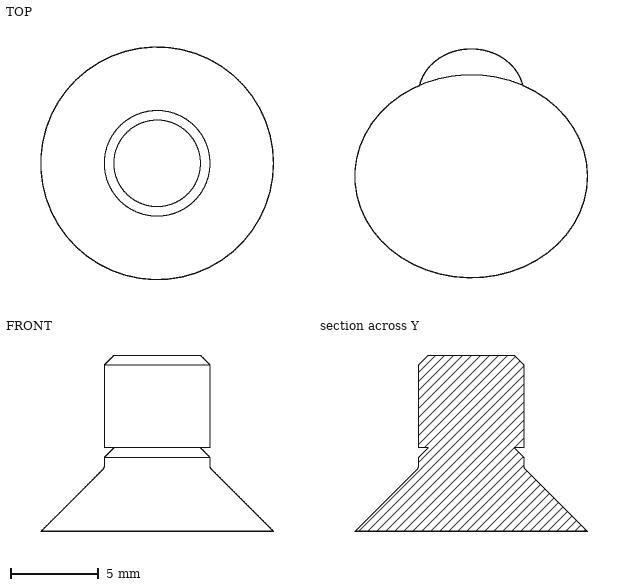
import cadquery as cq
import math

head_radius = 6.62
total_height = 10.0
shank_radius = 3.0
chamfer = 0.54
thread_start = 4.75
neck_fillet = 0.3

root_radius = shank_radius - chamfer
collar_top = thread_start - chamfer

cone_top = head_radius - shank_radius

blend_turn = math.radians(45)
blend_center_radius = shank_radius + neck_fillet
blend_top = cone_top + neck_fillet * math.tan(blend_turn / 2)


def blend_point(angle):
    """Point on the blend arc, turned by angle below its upper end."""
    return (
        blend_center_radius - neck_fillet * math.cos(angle),
        blend_top - neck_fillet * math.sin(angle),
    )


half_section = (
    cq.Workplane("XZ")
    .moveTo(0, 0)
    .lineTo(head_radius, 0)
    .lineTo(*blend_point(blend_turn))
    .threePointArc(blend_point(blend_turn / 2), blend_point(0))
    .lineTo(shank_radius, collar_top)
    .lineTo(root_radius, thread_start)
    .lineTo(shank_radius, thread_start)
    .lineTo(shank_radius, total_height - chamfer)
    .lineTo(root_radius, total_height)
    .lineTo(0, total_height)
    .close()
)

result = half_section.revolve(360, (0, 0, 0), (0, 1, 0))